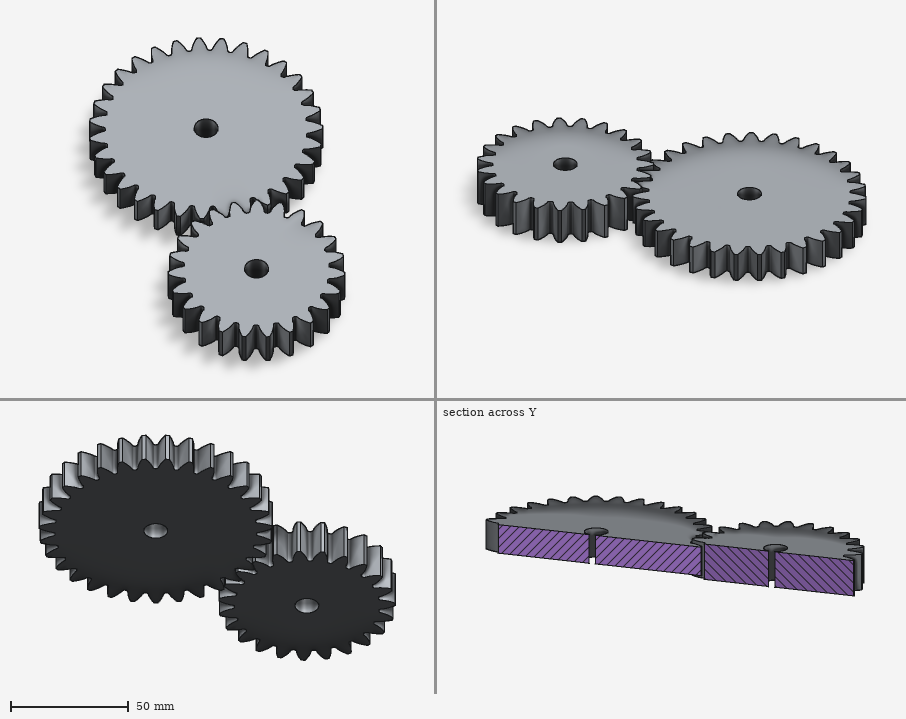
import cadquery as cq
import math


WHEEL_TEETH = 31
PINION_TEETH = 23
PRESSURE_ANGLE = math.radians(25)
ADDENDUM_FACTOR = 1.0
DEDENDUM_FACTOR = 1.25
ROOT_FILLET_FACTOR = 0.38
FLANK_SEGMENTS = 8

OVERALL_LENGTH = 167.8
BORE_DIAMETER = 10.0
WHEEL_THICKNESS = 13.0
PINION_THICKNESS = 16.0


def polar(radius, angle):
    return (radius * math.cos(angle), radius * math.sin(angle))


def rolled_angle(radius_ratio):
    """Angle an involute has moved round its base circle at a radius, given as radius / base radius."""
    roll = math.sqrt(radius_ratio**2 - 1)
    return roll - math.atan(roll)


def base_half_angle(teeth):
    """Half the angle of a tooth where its involute leaves the base circle.

    On the pitch circle, tooth and gap are equally wide.
    """
    return math.pi / (2 * teeth) + rolled_angle(1 / math.cos(PRESSURE_ANGLE))


def tip_half_angle(teeth):
    """Half the angle of a tooth's tip land."""
    tip_ratio = (teeth + 2 * ADDENDUM_FACTOR) / (teeth * math.cos(PRESSURE_ANGLE))
    return base_half_angle(teeth) - rolled_angle(tip_ratio)


pinion_corner_angle = math.pi / PINION_TEETH - tip_half_angle(PINION_TEETH)
wheel_reach = WHEEL_TEETH / 2 + ADDENDUM_FACTOR
pinion_reach = (PINION_TEETH / 2 + ADDENDUM_FACTOR) * math.cos(pinion_corner_angle)
axis_spacing = (WHEEL_TEETH + PINION_TEETH) / 2

MODULE = OVERALL_LENGTH / (wheel_reach + axis_spacing + pinion_reach)
CENTRE_DISTANCE = MODULE * axis_spacing
ROOT_FILLET = MODULE * ROOT_FILLET_FACTOR


def gear_outline(teeth):
    """Closed involute outline with one tooth centred on the -X axis."""
    pitch_radius = MODULE * teeth / 2
    base_radius = pitch_radius * math.cos(PRESSURE_ANGLE)
    tip_radius = pitch_radius + MODULE * ADDENDUM_FACTOR
    root_radius = pitch_radius - MODULE * DEDENDUM_FACTOR
    tooth_pitch = 2 * math.pi / teeth

    fillet_centre_radius = root_radius + ROOT_FILLET
    offset_turn = ROOT_FILLET / base_radius
    root_angle = base_half_angle(teeth) + offset_turn - rolled_angle(fillet_centre_radius / base_radius)
    flank_normal_length = math.sqrt(fillet_centre_radius**2 - base_radius**2) - ROOT_FILLET

    start_roll = flank_normal_length / base_radius
    tip_roll = math.sqrt((tip_radius / base_radius) ** 2 - 1)
    flank = []
    for step in range(FLANK_SEGMENTS + 1):
        roll = start_roll + (tip_roll - start_roll) * step / FLANK_SEGMENTS
        radius = base_radius * math.hypot(1, roll)
        flank.append((radius, base_half_angle(teeth) - rolled_angle(radius / base_radius)))

    outline = cq.Workplane("XY").moveTo(*polar(root_radius, math.pi - root_angle))
    for tooth in range(teeth):
        axis = math.pi + tooth * tooth_pitch
        rising_flank = [polar(radius, axis - angle) for radius, angle in flank]
        falling_flank = [polar(radius, axis + angle) for radius, angle in reversed(flank)]
        gap_middle = polar(root_radius, axis + tooth_pitch / 2)
        gap_end = polar(root_radius, axis + tooth_pitch - root_angle)
        outline = (
            outline.radiusArc(rising_flank[0], ROOT_FILLET)
            .spline(rising_flank[1:], includeCurrent=True)
            .threePointArc(polar(tip_radius, axis), falling_flank[0])
            .spline(falling_flank[1:], includeCurrent=True)
            .radiusArc(polar(root_radius, axis + root_angle), ROOT_FILLET)
            .threePointArc(gap_middle, gap_end)
        )
    return outline.close()


def spur_gear(teeth, thickness):
    """Gear with a through bore, on the Z axis and centred on Z = 0."""
    blank = gear_outline(teeth).extrude(thickness)
    bore = cq.Workplane("XY").circle(BORE_DIAMETER / 2).extrude(thickness)
    return blank.cut(bore).translate((0, 0, -thickness / 2))


wheel = spur_gear(WHEEL_TEETH, WHEEL_THICKNESS)
pinion = spur_gear(PINION_TEETH, PINION_THICKNESS).translate((CENTRE_DISTANCE, 0, 0))

result = cq.Compound.makeCompound([wheel.solids().val(), pinion.solids().val()])